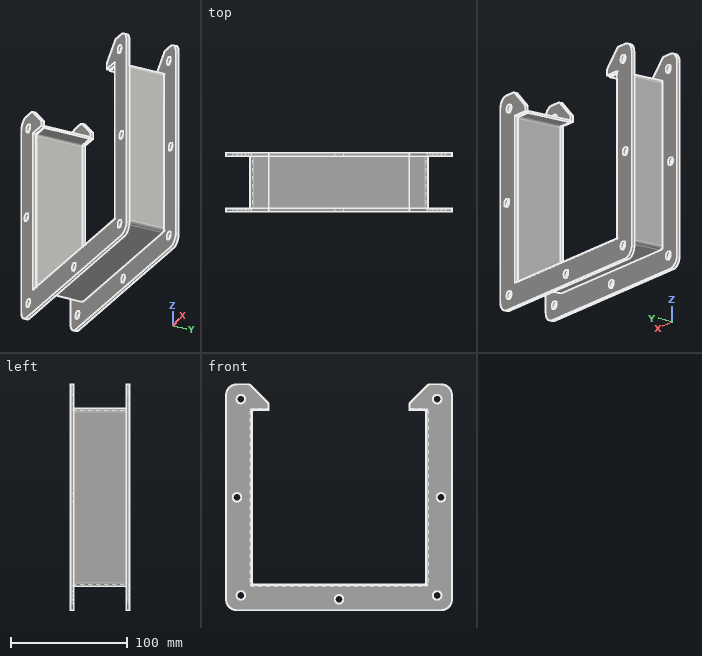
import cadquery as cq

size = 193.7
half = size / 2
depth = 50.7

plate_thickness = 3.1
plate_width = 21.5
outer_corner_radius = 9.5
hook_reach = 36.6
hook_slope_start = 20.3
hook_slope_drop = hook_reach - hook_slope_start
hook_edge_radius = 3.0

hole_diameter = 7.2
corner_hole_inset = 12.8
middle_hole_inset = 9.5

channel_inset = 20.5
sheet_thickness = 2.0
bend_outer_radius = 3.0
bend_inner_radius = bend_outer_radius - sheet_thickness


def bolt_hole_centres():
    corner = half - corner_hole_inset
    middle = half - middle_hole_inset
    corners = [(x, z) for x in (-corner, corner) for z in (-corner, corner)]
    return corners + [(-middle, 0), (middle, 0), (0, -middle)]


def make_plate(back_y):
    """U-shaped plate with hooked leg tips; it extends from back_y toward -Y."""
    inner = half - plate_width
    tip = half - hook_reach
    slope_x = half - hook_slope_start
    tip_z = half - hook_slope_drop
    right_side = [
        (half, -half),
        (half, half),
        (slope_x, half),
        (tip, tip_z),
        (tip, inner),
        (inner, inner),
        (inner, -inner),
    ]
    left_side = [(-x, z) for x, z in reversed(right_side)]
    plate = (
        cq.Workplane("XZ", origin=(0, back_y, 0))
        .polyline(right_side + left_side)
        .close()
        .extrude(plate_thickness)
    )

    def edges_at(x, z):
        centre_y = back_y - plate_thickness / 2
        return plate.edges(cq.selectors.NearestToPointSelector((x, centre_y, z)))

    for side in (-1, 1):
        for z in (-half, half):
            plate = edges_at(side * half, z).fillet(outer_corner_radius)
        for x, z in ((slope_x, half), (tip, tip_z)):
            plate = edges_at(side * x, z).fillet(hook_edge_radius)

    holes = (
        cq.Workplane("XZ", origin=(0, back_y, 0))
        .pushPoints(bolt_hole_centres())
        .circle(hole_diameter / 2)
        .extrude(plate_thickness)
    )
    return plate.cut(holes)


def rounded_square_bar(width, corner_radius, length):
    """Square bar along Y with rounded long edges."""
    bar = cq.Workplane("XZ").rect(width, width).extrude(length / 2, both=True)
    return bar.edges("|Y").fillet(corner_radius)


def make_channel():
    """Bent sheet: a square tube with a gap in its top wall between the two lips."""
    length = depth - 2 * plate_thickness
    outer_width = size - 2 * channel_inset
    inner_width = outer_width - 2 * sheet_thickness
    tube = rounded_square_bar(outer_width, bend_outer_radius, length).cut(
        rounded_square_bar(inner_width, bend_inner_radius, length)
    )
    gap_width = size - 2 * hook_reach
    top_gap = cq.Workplane("XY").box(gap_width, length, half, centered=(True, True, False))
    return tube.cut(top_gap)


channel = make_channel()
plates = [make_plate(back_y) for back_y in (plate_thickness - depth / 2, depth / 2)]

result = cq.Compound.makeCompound([channel.val(), *[plate.val() for plate in plates]])